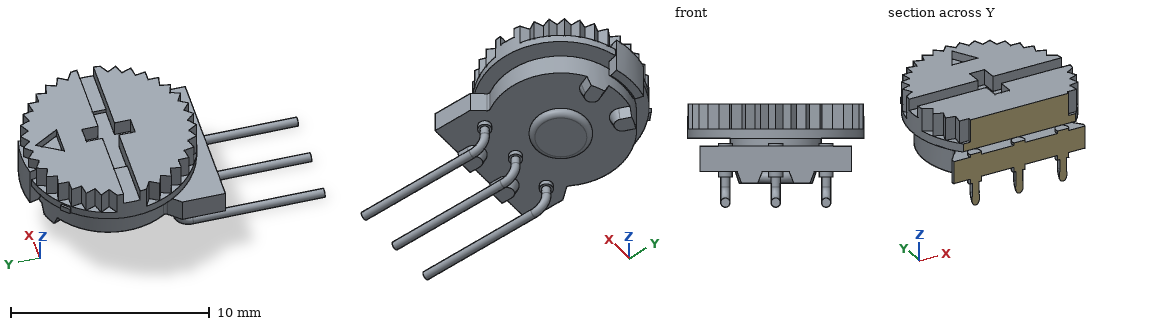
import cadquery as cq
import math


overall_height = 5.21

body_radius = 3.82
body_width = 7.63
body_front_y = -5.06
body_shoulder_y = -2.81
body_shoulder_angle = 50
body_neck_radius = 0.17
body_height = 1.28

wheel_diameter = 8.9
wheel_radius = wheel_diameter / 2
wheel_bottom_z = 1.68
tooth_bottom_z = 2.15
wheel_top_z = 3.41
tooth_pitch_angle = 10
tooth_valley_radius = 4.05
plain_half_angle = tooth_pitch_angle

slot_width = 0.86
slot_depth = 0.65
cross_depth = 0.86
cross_length_x = 4.05
cross_length_y = 2.54
arrow_tip_y = 3.8
arrow_base_y = 2.5
arrow_half_width = 0.75
arrow_depth = 0.45

tab_inner_radius = 3.94
tab_outer_radius = 4.55
tab_half_angle = 14.2
tab_bottom_z = 0.5
tab_top_z = wheel_top_z - slot_depth
tab_chamfer = 0.14

nub_angle = 136
nub_width = 0.55
nub_reach = 4.56
nub_bottom_z = 1.72
nub_top_z = 2.04

hub_radius = 2.3
rivet_radius = 1.6

foot_height = 0.59
foot_radius = 0.63
foot_taper = 21.5
front_foot_x = 1.31
front_foot_y = -4.47
rear_foot_angle = 22.7
rear_foot_radius = 3.19

lead_diameter = 0.47
lead_pitch = 2.54
lead_y = -2.88
lead_end_y = -10.55
lead_axis_z = wheel_top_z - overall_height + lead_diameter / 2
lead_bend_radius = 0.79
collar_diameter = 0.71
collar_bottom_z = -0.27
collar_top_z = 1.42


def cylinder(radius, bottom_z, top_z):
    return cq.Workplane("XY").workplane(offset=bottom_z).circle(radius).extrude(top_z - bottom_z)


def block_above(bottom_z, size_x, size_y, height):
    return cq.Workplane("XY").workplane(offset=bottom_z).rect(size_x, size_y).extrude(height)


def polar(radius, angle):
    """Plan point at an angle in degrees, counterclockwise from +X."""
    return radius * math.cos(math.radians(angle)), radius * math.sin(math.radians(angle))


def make_body_prism(bottom_z, top_z):
    """Round body with a rectangular front whose sloping shoulders run into the round."""
    half_width = body_width / 2
    peak_y = body_shoulder_y + half_width * math.tan(math.radians(body_shoulder_angle))
    outline = [
        (-half_width, body_front_y),
        (half_width, body_front_y),
        (half_width, body_shoulder_y),
        (0, peak_y),
        (-half_width, body_shoulder_y),
    ]
    height = top_z - bottom_z
    front = cq.Workplane("XY").workplane(offset=bottom_z).polyline(outline).close().extrude(height)
    return cylinder(body_radius, bottom_z, top_z).union(front)


def make_body():
    """Body prism with a small round in the corner where each shoulder meets the round part."""
    behind_shoulder = (-body_width / 2, body_shoulder_y + body_neck_radius, 0)
    ahead_of_axis = (body_width / 2, body_shoulder_y / 2, body_height)
    near_corners = cq.selectors.BoxSelector(behind_shoulder, ahead_of_axis)
    return make_body_prism(0, body_height).edges("|Z").edges(near_corners).fillet(body_neck_radius)


def make_foot(center_x, center_y, outward_angle):
    """Tapered foot, round at its inner end and running outward past the body edge."""
    run_out = 2 * body_radius
    return (
        cq.Workplane("XY")
        .center(run_out / 2, 0)
        .slot2D(run_out + 2 * foot_radius, 2 * foot_radius)
        .extrude(-foot_height, taper=foot_taper)
        .rotate((0, 0, 0), (0, 0, 1), outward_angle)
        .translate((center_x, center_y, 0))
    )


def make_feet():
    """Two feet at the front and two pointing radially at the rear, trimmed to the body outline."""
    feet = cq.Workplane("XY")
    for side in (-1, 1):
        rear_angle = 90 - side * rear_foot_angle
        rear_x, rear_y = polar(rear_foot_radius, rear_angle)
        feet = feet.add(make_foot(side * front_foot_x, front_foot_y, -90))
        feet = feet.add(make_foot(rear_x, rear_y, rear_angle))
    return feet.combine().intersect(make_body_prism(-foot_height, 0))


def make_wheel():
    """Disc with a toothed rim above a plain flange."""
    wheel = cylinder(wheel_radius, wheel_bottom_z, wheel_top_z)
    for notch in make_tooth_notches():
        wheel = wheel.cut(notch)
    return wheel


def make_tooth_notches():
    """V notches all round the rim, except next to the ends of the slot."""
    notches = []
    notch_height = wheel_top_z - tooth_bottom_z
    clear_radius = 2 * wheel_radius - tooth_valley_radius
    for plain_middle in (0, 180):
        first = plain_middle + plain_half_angle
        last = plain_middle + 180 - plain_half_angle
        for start in range(first, last, tooth_pitch_angle):
            end = start + tooth_pitch_angle
            notch = (
                cq.Workplane("XY")
                .workplane(offset=tooth_bottom_z)
                .moveTo(*polar(tooth_valley_radius, (start + end) / 2))
                .lineTo(*polar(wheel_radius, start))
                .lineTo(*polar(clear_radius, start))
                .lineTo(*polar(clear_radius, end))
                .lineTo(*polar(wheel_radius, end))
                .close()
                .extrude(notch_height)
            )
            notches.append(notch)
    return notches


def make_wheel_recesses():
    """Slot across the wheel, deeper cross at its middle, and the arrow pocket behind it."""
    slot = block_above(wheel_top_z - slot_depth, wheel_diameter, slot_width, slot_depth)
    cross_floor_z = wheel_top_z - cross_depth
    cross_x = block_above(cross_floor_z, cross_length_x, slot_width, cross_depth)
    cross_y = block_above(cross_floor_z, slot_width, cross_length_y, cross_depth)
    arrow = (
        cq.Workplane("XY")
        .workplane(offset=wheel_top_z)
        .moveTo(0, arrow_tip_y)
        .lineTo(-arrow_half_width, arrow_base_y)
        .lineTo(arrow_half_width, arrow_base_y)
        .close()
        .extrude(-arrow_depth)
    )
    return slot.union(cross_x).union(cross_y).union(arrow)


def make_stop_tab():
    """Ring sector revolved about the wheel axis, chamfered at its lower inner edge."""
    profile = [
        (tab_inner_radius + tab_chamfer, tab_bottom_z),
        (tab_outer_radius, tab_bottom_z),
        (tab_outer_radius, tab_top_z),
        (tab_inner_radius, tab_top_z),
        (tab_inner_radius, tab_bottom_z + tab_chamfer),
    ]
    return (
        cq.Workplane("XZ")
        .polyline(profile)
        .close()
        .revolve(2 * tab_half_angle, (0, 0, 0), (0, 1, 0))
        .rotate((0, 0, 0), (0, 0, 1), 90 - tab_half_angle)
    )


def make_nub():
    """Small square block that starts inside the flange and stands out of its rim."""
    root_radius = tooth_valley_radius
    return (
        block_above(nub_bottom_z, nub_reach - root_radius, nub_width, nub_top_z - nub_bottom_z)
        .translate(((nub_reach + root_radius) / 2, 0, 0))
        .rotate((0, 0, 0), (0, 0, 1), nub_angle)
    )


def make_rivet():
    """Flat disc under the body with a half-round rim."""
    rim_start = rivet_radius - foot_height / 2
    return (
        cq.Workplane("XZ")
        .lineTo(rim_start, 0)
        .threePointArc((rivet_radius, -foot_height / 2), (rim_start, -foot_height))
        .lineTo(0, -foot_height)
        .close()
        .revolve(360, (0, 0, 0), (0, 1, 0))
    )


def make_lead():
    """Collared pin through the body, bent forward below it."""
    path = (
        cq.Workplane("YZ")
        .moveTo(lead_y, body_height)
        .lineTo(lead_y, lead_axis_z + lead_bend_radius)
        .radiusArc((lead_y - lead_bend_radius, lead_axis_z), lead_bend_radius)
        .lineTo(lead_end_y, lead_axis_z)
    )
    wire = (
        cq.Workplane("XY")
        .workplane(offset=body_height)
        .center(0, lead_y)
        .circle(lead_diameter / 2)
        .sweep(path)
    )
    collar = cylinder(collar_diameter / 2, collar_bottom_z, collar_top_z).translate((0, lead_y, 0))
    return wire.union(collar)


hub = cylinder(hub_radius, body_height, wheel_bottom_z)
base = make_body().union(make_feet()).union(make_rivet())
wheel = make_wheel().union(make_nub()).cut(make_wheel_recesses())
lead = make_lead()

result = base.union(hub).union(wheel).union(make_stop_tab())
for position in (-1, 0, 1):
    result = result.union(lead.translate((position * lead_pitch, 0, 0)))